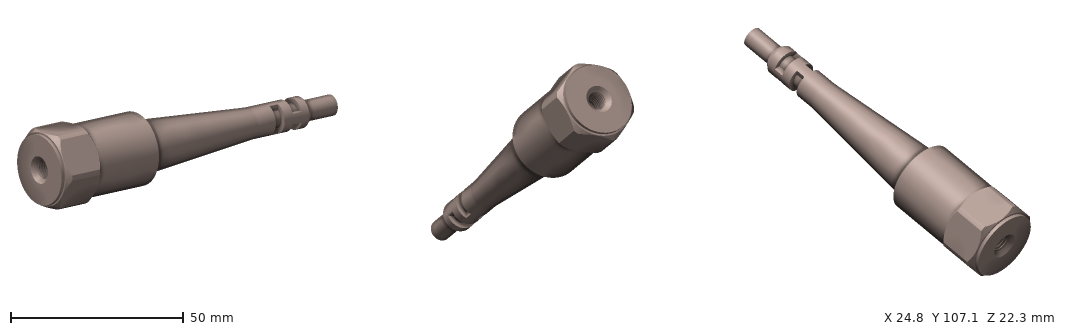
import cadquery as cq
import math


total_length = 107.1
land_length = 1.1
hex_end = 14.0
body_end = 35.7
cone_start = 39.2
cone_end = 76.7
relief_length = 3.2
side_relief_start = 83.1
top_relief_start = side_relief_start + 2 * relief_length
sleeve_end = 96.7

land_diameter = 21.0
body_diameter = 22.1
collar_diameter = 15.8
sleeve_diameter = 9.5
cable_diameter = 6.3

body_chamfer = 0.3
sleeve_chamfer_length = 1.3
sleeve_chamfer_depth = 1.0

hex_across_flats = 22.3
hex_across_corners = 24.8

web_half_width = 1.66

countersink_diameter = 8.1
bore_diameter = 5.5
thread_diameter = 6.3
thread_pitch = 0.91
thread_turns = 8
thread_mouth_width = 0.7
thread_overlap = 0.1
bore_depth = 8.6
drill_point_angle = 118.0


def revolve_profile(points):
    """Revolve a closed (radius, Y) outline about the Y axis."""
    return cq.Workplane("XY").polyline(points).close().revolve(360, (0, 0, 0), (0, 1, 0))


def make_turned_body():
    body_radius = body_diameter / 2
    collar_radius = collar_diameter / 2
    sleeve_radius = sleeve_diameter / 2
    cable_radius = cable_diameter / 2
    return revolve_profile([
        (0, 0),
        (land_diameter / 2, 0),
        (land_diameter / 2, land_length),
        (body_radius, land_length),
        (body_radius, body_end - body_chamfer),
        (body_radius - body_chamfer, body_end),
        (collar_radius, body_end),
        (collar_radius, cone_start),
        (sleeve_radius, cone_end),
        (sleeve_radius, sleeve_end - sleeve_chamfer_length),
        (sleeve_radius - sleeve_chamfer_depth, sleeve_end),
        (cable_radius, sleeve_end),
        (cable_radius, total_length),
        (0, total_length),
    ])


def make_hexagon():
    corner_radius = hex_across_corners / 2
    end_radius = body_diameter / 2
    chamfer = corner_radius - end_radius
    envelope = revolve_profile([
        (0, land_length),
        (end_radius, land_length),
        (corner_radius, land_length + chamfer),
        (corner_radius, hex_end - chamfer),
        (end_radius, hex_end),
        (0, hex_end),
    ])
    sharp_corner_diameter = hex_across_flats / math.cos(math.pi / 6)
    prism = cq.Workplane("XZ").polygon(6, sharp_corner_diameter).extrude(-hex_end)
    return prism.intersect(envelope)


def make_reliefs(start, web_along_z):
    """Ring around the cable, oversized outward and interrupted by two opposite webs."""
    ring = (
        cq.Workplane("XZ", origin=(0, start, 0))
        .circle(sleeve_diameter)
        .circle(cable_diameter / 2)
        .extrude(-relief_length)
    )
    web_width = 2 * web_half_width
    web_span = 3 * sleeve_diameter
    size_x, size_z = (web_width, web_span) if web_along_z else (web_span, web_width)
    web = cq.Workplane("XZ", origin=(0, start, 0)).rect(size_x, size_z).extrude(-relief_length)
    return ring.cut(web)


def make_mounting_hole():
    countersink_radius = countersink_diameter / 2
    bore_radius = bore_diameter / 2
    countersink_depth = countersink_radius - bore_radius
    point_length = bore_radius / math.tan(math.radians(drill_point_angle / 2))
    return revolve_profile([
        (0, 0),
        (countersink_radius, 0),
        (bore_radius, countersink_depth),
        (bore_radius, bore_depth),
        (0, bore_depth + point_length),
    ])


def make_thread_groove():
    """Helical V groove, starting within the countersink and overlapping the bore."""
    inner_radius = bore_diameter / 2 - thread_overlap
    helix = cq.Wire.makeHelix(
        thread_pitch,
        thread_pitch * thread_turns,
        inner_radius,
        cq.Vector(0, 0, 0),
        cq.Vector(0, 0, 1),
    )
    groove = (
        cq.Workplane("XZ")
        .moveTo(inner_radius, -thread_mouth_width / 2)
        .lineTo(thread_diameter / 2, 0)
        .lineTo(inner_radius, thread_mouth_width / 2)
        .close()
        .sweep(cq.Workplane(obj=helix), isFrenet=True)
    )
    return groove.rotate((0, 0, 0), (1, 0, 0), -90).translate((0, thread_mouth_width / 2, 0))


result = (
    make_turned_body()
    .union(make_hexagon())
    .cut(make_reliefs(side_relief_start, web_along_z=True))
    .cut(make_reliefs(top_relief_start, web_along_z=False))
    .cut(make_mounting_hole())
    .cut(make_thread_groove())
)